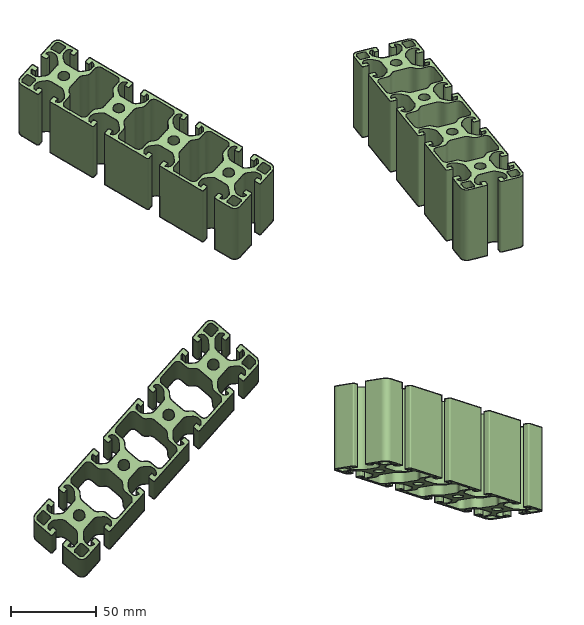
import cadquery as cq
import math

CELL = 40.0
CELL_COUNT = 4
LENGTH = 50.0
WIDTH = CELL * CELL_COUNT
OUTER_RADIUS = 4.0
SKIN = 2.0

SLOT_HALF_WIDTH = 4.0
LIP_DEPTH = 4.5
LIP_HALF_WIDTH = 7.0
LIP_RADIUS = 0.8
POCKET_HALF_WIDTH = 10.0
POCKET_TOP_RADIUS = 2.7
POCKET_SIDE_RADIUS = 4.8
SHOULDER_DEPTH = 7.5
POCKET_FLOOR_RADIUS = 4.2

CORE_HALF_WIDTH = 7.8
BORE_DIAMETER = 6.7
FLOOR_DEPTH = CELL / 2 - CORE_HALF_WIDTH

CORNER_HOLLOW_END_WALL = 1.8
CORNER_HOLLOW_FAR = 8.3
CORNER_HOLLOW_RADIUS = 0.8
CORNER_HOLLOW_OUTER_RADIUS = 2.0

CAVITY_HALF_WIDTH = 8.5
CAVITY_CORNER_RADIUS = 3.0
CAVITY_SHOULDER = 9.5
CAVITY_BEND_RADIUS = 3.8


def rounded_prism(corners):
    """Prism over a closed outline of (x, y, radius) corners, each rounded by a tangent arc.

    A corner with radius 0 stays sharp.
    """
    path = None
    for i, (x, y, radius) in enumerate(corners):
        corner = cq.Vector(x, y)
        before = cq.Vector(*corners[i - 1][:2])
        after = cq.Vector(*corners[(i + 1) % len(corners)][:2])
        to_before = (before - corner).normalized()
        to_after = (after - corner).normalized()
        half_angle = to_before.getAngle(to_after) / 2
        tangent = radius / math.tan(half_angle)
        start = corner + to_before * tangent
        path = path.lineTo(start.x, start.y) if path else cq.Workplane("XY").moveTo(start.x, start.y)
        if radius > 0:
            reach = radius / math.sin(half_angle) - radius
            middle = corner + (to_before + to_after).normalized() * reach
            end = corner + to_after * tangent
            path = path.threePointArc(middle.toTuple()[:2], end.toTuple()[:2])
    return path.close().extrude(LENGTH)


def t_slot():
    """Slot cutter opening at +Y of a cell centred on the origin."""
    face = CELL / 2
    mouth_half_width = SLOT_HALF_WIDTH + 2 * LIP_RADIUS
    floor_half_width = POCKET_HALF_WIDTH - (FLOOR_DEPTH - SHOULDER_DEPTH)
    half = [
        (mouth_half_width, face + LIP_RADIUS, 0),
        (mouth_half_width, face, 0),
        (SLOT_HALF_WIDTH, face, LIP_RADIUS),
        (SLOT_HALF_WIDTH, face - LIP_DEPTH, LIP_RADIUS),
        (LIP_HALF_WIDTH, face - LIP_DEPTH, 0),
        (LIP_HALF_WIDTH, face - SKIN, 0),
        (POCKET_HALF_WIDTH, face - SKIN, POCKET_TOP_RADIUS),
        (POCKET_HALF_WIDTH, face - SHOULDER_DEPTH, POCKET_SIDE_RADIUS),
        (floor_half_width, CORE_HALF_WIDTH, POCKET_FLOOR_RADIUS),
    ]
    mirrored = [(-x, y, radius) for x, y, radius in reversed(half)]
    return rounded_prism(half + mirrored)


def cavity():
    """Cavity cutter centred between two cells."""
    top = CELL / 2 - SKIN
    waist_half_width = CELL / 2 - CORE_HALF_WIDTH
    waist = CAVITY_SHOULDER - (waist_half_width - CAVITY_HALF_WIDTH)
    quarter = [
        (CAVITY_HALF_WIDTH, top, CAVITY_CORNER_RADIUS),
        (CAVITY_HALF_WIDTH, CAVITY_SHOULDER, CAVITY_BEND_RADIUS),
        (waist_half_width, waist, CAVITY_BEND_RADIUS),
    ]
    right = quarter + [(x, -y, radius) for x, y, radius in reversed(quarter)]
    left = [(-x, -y, radius) for x, y, radius in right]
    return rounded_prism(right + left)


def corner_hollow():
    """Hollow cutter for the +X +Y corner of the profile."""
    near_x = WIDTH / 2 - CORNER_HOLLOW_END_WALL
    near_y = CELL / 2 - SKIN
    far_x = WIDTH / 2 - CORNER_HOLLOW_FAR
    far_y = CELL / 2 - CORNER_HOLLOW_FAR
    return rounded_prism([
        (near_x, near_y, CORNER_HOLLOW_OUTER_RADIUS),
        (far_x, near_y, CORNER_HOLLOW_RADIUS),
        (far_x, far_y, CORNER_HOLLOW_RADIUS),
        (near_x, far_y, CORNER_HOLLOW_RADIUS),
    ])


def turned(shape, angle):
    """Shape turned by an angle in degrees about the Z axis."""
    return shape.rotate((0, 0, 0), (0, 0, 1), angle)


cell_centers = [(i - (CELL_COUNT - 1) / 2) * CELL for i in range(CELL_COUNT)]

result = cq.Workplane("XY").rect(WIDTH, CELL).extrude(LENGTH).edges("|Z").fillet(OUTER_RADIUS)

bore = cq.Workplane("XY").circle(BORE_DIAMETER / 2).extrude(LENGTH)
for x in cell_centers:
    for cutter in (t_slot(), turned(t_slot(), 180), bore):
        result = result.cut(cutter.translate((x, 0, 0)))

result = result.cut(turned(t_slot(), 90).translate((cell_centers[0], 0, 0)))
result = result.cut(turned(t_slot(), -90).translate((cell_centers[-1], 0, 0)))

for x in cell_centers[:-1]:
    result = result.cut(cavity().translate((x + CELL / 2, 0, 0)))

hollow = corner_hollow()
for back_hollow in (hollow, hollow.mirror("YZ")):
    result = result.cut(back_hollow).cut(back_hollow.mirror("XZ"))